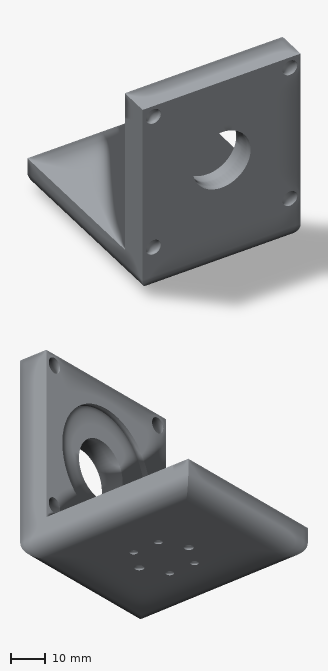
import cadquery as cq
import math

length = 64.6
width = 54.6
height = 66.4
plate_thickness = 10.0
bottom_fillet = 5.0

bore_diameter = 20.0
recess_diameter = 40.0
recess_depth = 2.0
corner_hole_diameter = 5.1
corner_hole_inset = 3.7

hole_circle_radius = 9.5
hole_count = 6
large_hole_diameter = 3.0
small_hole_diameter = 2.5

wall_face_x = length / 2 - plate_thickness
bore_center_z = (plate_thickness + height) / 2
corner_hole_spacing = width - 2 * corner_hole_inset
corner_pattern_center_z = height - width / 2


def make_base():
    """Horizontal plate with its bottom face at Z = 0."""
    return cq.Workplane("XY").box(length, width, plate_thickness, centered=(True, True, False))


def make_wall():
    """Upright plate along the +X end of the base, standing on its top face."""
    return (
        cq.Workplane("XY", origin=(wall_face_x + plate_thickness / 2, 0, plate_thickness))
        .box(plate_thickness, width, height - plate_thickness, centered=(True, True, False))
    )


def wall_plane(center_z):
    """Inner wall face centered at the given height, with its normal pointing into the wall (+X)."""
    return cq.Workplane("YZ", origin=(wall_face_x, 0, center_z))


def make_wall_cutters():
    """Central bore, shallow recess around it and four corner holes."""
    bore = wall_plane(bore_center_z).circle(bore_diameter / 2).extrude(plate_thickness)
    recess = wall_plane(bore_center_z).circle(recess_diameter / 2).extrude(recess_depth)
    corner_holes = (
        wall_plane(corner_pattern_center_z)
        .rect(corner_hole_spacing, corner_hole_spacing, forConstruction=True)
        .vertices()
        .circle(corner_hole_diameter / 2)
        .extrude(plate_thickness)
    )
    return bore.union(recess).union(corner_holes)


def make_base_holes(diameter, angles):
    """Through holes at the given angles on the base hole circle."""
    centers = [
        (
            hole_circle_radius * math.cos(math.radians(angle)),
            hole_circle_radius * math.sin(math.radians(angle)),
        )
        for angle in angles
    ]
    return cq.Workplane("XY").pushPoints(centers).circle(diameter / 2).extrude(plate_thickness)


hole_angles = [index * 360 / hole_count for index in range(hole_count)]
large_hole_angles = [angle for angle in hole_angles if angle % 180 == 0]
small_hole_angles = [angle for angle in hole_angles if angle % 180 != 0]

body = make_base().union(make_wall())
body = body.faces("<Z").edges().fillet(bottom_fillet)

result = (
    body.cut(make_wall_cutters())
    .cut(make_base_holes(large_hole_diameter, large_hole_angles))
    .cut(make_base_holes(small_hole_diameter, small_hole_angles))
)